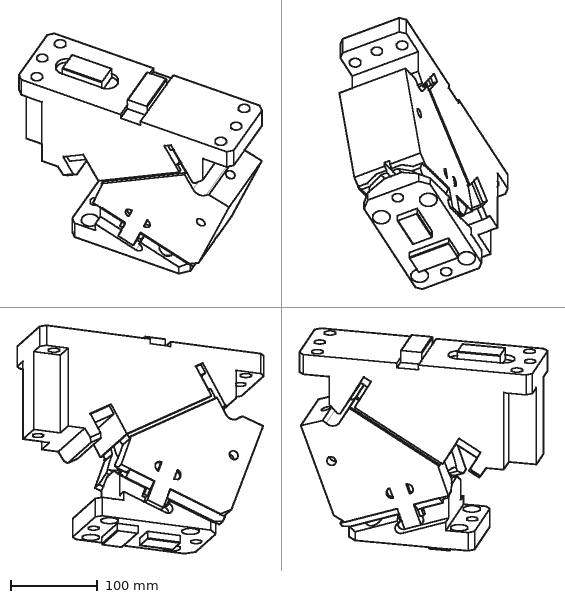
import cadquery as cq
import math

LENGTH = 277.0
WIDTH = 85.0
HALF_WIDTH = WIDTH / 2
TOTAL_HEIGHT = 243.0
BODY_HEIGHT = 225.0
KEY_PROJECTION = (TOTAL_HEIGHT - BODY_HEIGHT) / 2
CORNER_CHAMFER = 6.0
REACH = 554.0

KEY_LENGTH = 50.5
KEY_WIDTH = 25.5
KEY_CHAMFER = 0.8
KEYWAY_DEPTH = 5.8
SCREW_INSET = 20.0
SCREW_Y = 30.2
LEFT_DOWEL_INSET = 12.0
HOLDER_RIGHT_DOWEL_INSET = 15.2
BASE_RIGHT_SCREW_INSET = 30.5
DOWEL_RADIUS = 6.5
HOLDER_SCREW_RADIUS = 6.6
BASE_SCREW_RADIUS = 10.0

FLANGE_THICKNESS = 24.7
FLANGE_BOTTOM = BODY_HEIGHT - FLANGE_THICKNESS
HOLDER_BOTTOM = 104.7
LIP_ROOT_X = 53.2
HEEL_X = 240.2
NOSE_Z = 155.7
NOSE_LEFT_X = 227.0
NOSE_RIGHT_X = 230.0
END_RELIEF_LENGTH = 32.7
END_WEB_WIDTH = 35.2
HOLDER_KEY_X = 134.0
LONG_KEY_X = 44.3
LONG_KEY_LENGTH = 50.7
KEY_SLOT_X = 30.5
KEY_SLOT_LENGTH = 78.0

SLIDE_ANGLE = math.radians(30)
SLIDE_X = 105.3
SLIDE_Z = 104.7
NOTCH_LENGTH = 29.6
LIP_THICKNESS = 14.5
LIP_DROP = 8.5
LIP_CHAMFER = 5.0
SLOT_START = 120.8
SLOT_WIDTH = 10.0
CLEARANCE_TOP = 28.0
POCKET_TOP = 39.0
POCKET_DEPTH = 5.5
RIDGE_START = 2.2
RIDGE_END = 126.0
RIDGE_STEP = 8.5
RIDGE_HALF_WIDTH = 38.8
RIB_HALF_WIDTH = 33.2
SHOULDER_DROP = 4.5

RAMP_ANGLE = math.radians(20)
RAMP_X = 101.5
RAMP_Z = 65.0
ROOF_ANGLE = math.radians(30)
ROOF_TOP = 4.2
ROOF_FLAT = 10.8

SLIDER_START = -3.0
SLIDER_END = 137.7
SLIDER_TOP = 126.0
BEVEL_TOP = 11.4
BEVEL_SLOPE = 0.9
TOE_END = 134.0
TOE_LOW = -5.3
START_DROP = 6.0
VALLEY_DROP = 25.8
VALLEY_BOTTOM = (235.5, 139.5)
VALLEY_RIGHT = (243.8, 142.7)
SHOULDER_PEAK = (248.0, 145.1)
SKIRT_DROP = 9.0
SKIRT_TOP_Y = 41.3
SKIRT_BOTTOM_Y = 35.5
END_RECESS_END = 9.0
RECESS_HALF_WIDTH = 29.5
RECESS_THROAT = 13.3
RECESS_TOP = 14.7
CENTRE_SLOT_WIDTH = 6.6
CENTRE_SLOT_TOP = 16.0
BORE_RADIUS = 17.2
BORE_DROP = 10.5
BORE_END = 7.0
TAB_START = 40.7
TAB_WIDTH = 20.8
TAB_DROP = 25.8
LUG_OVERHANG = 4.5
LUG_DROP = 17.7
LUG_OUTER_Y = 35.5
HALF_DISC_RADIUS = 6.0
HALF_DISC_HEIGHT = 20.0
HALF_DISC_DEPTH = 4.2
CROSS_HOLE_X = 237.5
CROSS_HOLE_Z = 95.8
CROSS_HOLE_RADIUS = 5.3
CROSS_HOLE_DEPTH = 13.8
DRILL_POINT_SLOPE = 0.6
END_HOLE_RADIUS = 5.5
END_HOLE_DEPTH = 13.8
END_HOLE_INSET = 20.5

BASE_START = 68.7
BASE_END = 219.0
BASE_STEP_HEIGHT = 22.7
BASE_END_CHAMFER = 10.0
SIDE_POCKET_Y = 29.0
SIDE_POCKET_END = 66.5
SIDE_POCKET_DROP = 30.0
RELIEF_RADIUS = 6.0
BASE_KEY_X = 100.3
BASE_LONG_KEY_X = 142.5
BASE_LONG_KEY_LENGTH = 40.2


def on_slide(along, above):
    """X, Z of a point given along and above the slide plane."""
    x = SLIDE_X + along * math.cos(SLIDE_ANGLE) - above * math.sin(SLIDE_ANGLE)
    z = SLIDE_Z + along * math.sin(SLIDE_ANGLE) + above * math.cos(SLIDE_ANGLE)
    return (x, z)


def on_ramp(along, above):
    """X, Z of a point given down along and above the ramp."""
    x = RAMP_X + along * math.cos(RAMP_ANGLE) + above * math.sin(RAMP_ANGLE)
    z = RAMP_Z - along * math.sin(RAMP_ANGLE) + above * math.cos(RAMP_ANGLE)
    return (x, z)


def roof_height(y):
    """Height above the ramp of the sloped roof flanks."""
    return ROOF_TOP - (abs(y) - ROOF_FLAT) * math.tan(ROOF_ANGLE)


def slide_side():
    """Side plane of the slide: local x is along it, local y is above it."""
    direction = (math.cos(SLIDE_ANGLE), 0, math.sin(SLIDE_ANGLE))
    return cq.Workplane(cq.Plane((SLIDE_X, 0, SLIDE_Z), direction, (0, -1, 0)))


def ramp_side():
    """Side plane of the ramp: local x is down along it, local y is above it."""
    direction = (math.cos(RAMP_ANGLE), 0, -math.sin(RAMP_ANGLE))
    return cq.Workplane(cq.Plane((RAMP_X, 0, RAMP_Z), direction, (0, -1, 0)))


def slide_section(along):
    """Cross-section plane of the slide: local x is Y, local y is above the slide."""
    x, z = on_slide(along, 0)
    direction = (math.cos(SLIDE_ANGLE), 0, math.sin(SLIDE_ANGLE))
    return cq.Workplane(cq.Plane((x, 0, z), (0, 1, 0), direction))


def ramp_section(along):
    """Cross-section plane of the ramp: local x is Y, local y is above the ramp."""
    x, z = on_ramp(along, 0)
    direction = (math.cos(RAMP_ANGLE), 0, -math.sin(RAMP_ANGLE))
    return cq.Workplane(cq.Plane((x, 0, z), (0, 1, 0), direction))


def span(side, start, end, low, high, half_width=REACH):
    """Block on a side plane, symmetric about the middle of the width."""
    return (
        side.center((start + end) / 2, (low + high) / 2)
        .rect(end - start, high - low)
        .extrude(half_width, both=True)
    )


def both_flanks(side, start, end, low, high, inner, outer):
    """The same block on both flanks, between two distances from the middle."""
    whole = span(side, start, end, low, high, outer)
    return whole.cut(span(side, start, end, low, high, inner))


def mirrored(half):
    """Closed outline from a half outline, listed from the outside to the middle."""
    return half + [(-y, z) for y, z in reversed(half)]


def box(start, end, width, low, high):
    """Block between two X places and two heights, centred on the width."""
    return cq.Workplane("XY").box(end - start, width, high - low).translate(
        ((start + end) / 2, 0, (low + high) / 2)
    )


def key(start, length, width, low, high, chamfered_sides, chamfered_face):
    block = box(start, start + length, width, low, high)
    return block.faces(chamfered_face).edges(chamfered_sides).chamfer(KEY_CHAMFER)


def vertical_holes(places, radius):
    return cq.Workplane("XY").pushPoints(places).circle(radius).extrude(REACH)


def end_holes(screw_xs, screw_radius, dowel_xs):
    """Two screw holes and a dowel hole at each end of a plate."""
    screws = [(x, y) for x in screw_xs for y in (-SCREW_Y, SCREW_Y)]
    dowels = [(x, 0) for x in dowel_xs]
    return vertical_holes(screws, screw_radius).union(vertical_holes(dowels, DOWEL_RADIUS))


def slide_ridge(top):
    """Stepped ridge of the slider that runs in the holder."""
    half = [
        (RIDGE_HALF_WIDTH, -SHOULDER_DROP),
        (RIDGE_HALF_WIDTH, RIDGE_STEP),
        (RIB_HALF_WIDTH, RIDGE_STEP),
        (RIB_HALF_WIDTH, top),
    ]
    return slide_section(RIDGE_START).polyline(mirrored(half)).close().extrude(RIDGE_END - RIDGE_START)


def make_holder():
    lip_start = -NOTCH_LENGTH - LIP_THICKNESS
    slot_end = SLOT_START + SLOT_WIDTH
    outline = [
        (0, HOLDER_BOTTOM),
        (LIP_ROOT_X, HOLDER_BOTTOM),
        on_slide(lip_start, LIP_DROP),
        on_slide(-NOTCH_LENGTH, LIP_DROP),
        on_slide(-NOTCH_LENGTH, CLEARANCE_TOP),
        on_slide(0, CLEARANCE_TOP),
        on_slide(0, 0),
        on_slide(SLOT_START, 0),
        on_slide(SLOT_START, CLEARANCE_TOP),
        on_slide(slot_end, CLEARANCE_TOP),
        (NOSE_LEFT_X, NOSE_Z),
        (NOSE_RIGHT_X, NOSE_Z),
        (HEEL_X, NOSE_Z + HEEL_X - NOSE_RIGHT_X),
        (HEEL_X, FLANGE_BOTTOM),
        (LENGTH, FLANGE_BOTTOM),
        (LENGTH, BODY_HEIGHT),
        (0, BODY_HEIGHT),
    ]
    holder = cq.Workplane("XZ").polyline(outline).close().extrude(HALF_WIDTH, both=True)

    relief = box(0, END_RELIEF_LENGTH, WIDTH, 0, FLANGE_BOTTOM)
    relief = relief.cut(box(0, END_RELIEF_LENGTH, END_WEB_WIDTH, 0, FLANGE_BOTTOM))
    holder = holder.cut(relief)

    flange = box(0, LENGTH, WIDTH, 0, BODY_HEIGHT).edges("|Z").chamfer(CORNER_CHAMFER)
    holder = holder.intersect(flange)

    for side in (-1, 1):
        edge_y = side * HALF_WIDTH
        corner = [
            (edge_y, LIP_DROP),
            (edge_y - side * LIP_CHAMFER, LIP_DROP),
            (edge_y, LIP_DROP + LIP_CHAMFER),
        ]
        holder = holder.cut(
            slide_section(lip_start - 2.8).polyline(corner).close().extrude(LIP_THICKNESS + 2.8)
        )

    for start, end in ((-NOTCH_LENGTH, 0), (SLOT_START, slot_end)):
        holder = holder.cut(
            both_flanks(
                slide_side(), start, end, CLEARANCE_TOP, POCKET_TOP, HALF_WIDTH - POCKET_DEPTH, HALF_WIDTH
            )
        )

    holder = holder.cut(slide_ridge(CLEARANCE_TOP))

    keyway_floor = BODY_HEIGHT - KEYWAY_DEPTH
    key_top = BODY_HEIGHT + KEY_PROJECTION
    holder = holder.cut(box(HOLDER_KEY_X, HOLDER_KEY_X + KEY_WIDTH, WIDTH, keyway_floor, BODY_HEIGHT))
    key_slot = (
        cq.Workplane("XY", origin=(KEY_SLOT_X + KEY_SLOT_LENGTH / 2, 0, keyway_floor))
        .slot2D(KEY_SLOT_LENGTH, KEY_WIDTH)
        .extrude(KEYWAY_DEPTH)
    )
    holder = holder.cut(key_slot)
    holder = holder.union(key(HOLDER_KEY_X, KEY_WIDTH, KEY_LENGTH, keyway_floor, key_top, "|Y", ">Z"))
    holder = holder.union(key(LONG_KEY_X, LONG_KEY_LENGTH, KEY_WIDTH, keyway_floor, key_top, "|X", ">Z"))
    screw_xs = (SCREW_INSET, LENGTH - SCREW_INSET)
    dowel_xs = (LEFT_DOWEL_INSET, LENGTH - HOLDER_RIGHT_DOWEL_INSET)
    return holder.cut(end_holes(screw_xs, HOLDER_SCREW_RADIUS, dowel_xs))


def wide_groove(start, end):
    """Space under the slider that holds the bearing strips, between two places along the ramp."""
    throat = (RECESS_HALF_WIDTH - RECESS_THROAT) * math.tan(ROOF_ANGLE)
    half = [
        (HALF_WIDTH, -REACH),
        (HALF_WIDTH, 0),
        (RECESS_HALF_WIDTH, 0),
        (RECESS_THROAT, throat),
        (RECESS_THROAT, RECESS_TOP),
    ]
    return ramp_section(start).polyline(mirrored(half)).close().extrude(end - start)


def make_slider():
    toe_top = BEVEL_TOP - (SLIDER_END - TOE_END) / BEVEL_SLOPE
    skirt_end = TOE_END - (SKIRT_DROP + TOE_LOW) / math.tan(RAMP_ANGLE)
    slider = (
        cq.Workplane("XZ")
        .moveTo(*on_slide(RIDGE_START, 0))
        .lineTo(*on_slide(RIDGE_END, 0))
        .lineTo(*on_slide(RIDGE_END, -VALLEY_DROP))
        .threePointArc(VALLEY_BOTTOM, VALLEY_RIGHT)
        .lineTo(*SHOULDER_PEAK)
        .lineTo(*on_ramp(SLIDER_END, SLIDER_TOP))
        .lineTo(*on_ramp(SLIDER_END, BEVEL_TOP))
        .lineTo(*on_ramp(TOE_END, toe_top))
        .lineTo(*on_ramp(TOE_END, TOE_LOW))
        .lineTo(*on_ramp(skirt_end, -SKIRT_DROP))
        .lineTo(*on_ramp(SLIDER_START, -SKIRT_DROP))
        .lineTo(*on_slide(RIDGE_START, -START_DROP))
        .close()
        .extrude(HALF_WIDTH, both=True)
    )

    cut_start = SLIDER_START - 2.8
    run = SLIDER_END - cut_start
    for side in (-1, 1):
        flank = [
            (side * (HALF_WIDTH + 2.8), 0),
            (side * SKIRT_TOP_Y, 0),
            (side * SKIRT_BOTTOM_Y, -SKIRT_DROP),
            (side * (HALF_WIDTH + 2.8), -SKIRT_DROP),
        ]
        slider = slider.cut(ramp_section(cut_start).polyline(flank).close().extrude(run))

    groove = [
        (HALF_WIDTH, -REACH),
        (HALF_WIDTH, roof_height(HALF_WIDTH)),
        (ROOF_FLAT, ROOF_TOP),
        (CENTRE_SLOT_WIDTH / 2, ROOF_TOP),
        (CENTRE_SLOT_WIDTH / 2, CENTRE_SLOT_TOP),
    ]
    slider = slider.cut(ramp_section(cut_start).polyline(mirrored(groove)).close().extrude(run))

    slider = slider.cut(wide_groove(cut_start, END_RECESS_END))

    bevel = (
        ramp_side()
        .moveTo(SLIDER_END, BEVEL_TOP)
        .lineTo(SLIDER_END - BEVEL_TOP * BEVEL_SLOPE, 0)
        .lineTo(SLIDER_END, 0)
        .close()
        .extrude(HALF_WIDTH, both=True)
    )
    slider = slider.cut(bevel.cut(wide_groove(cut_start, SLIDER_END)))

    slider = slider.cut(
        both_flanks(slide_side(), 0, RIDGE_END, -SHOULDER_DROP, 0, RIDGE_HALF_WIDTH, HALF_WIDTH)
    )
    slider = slider.union(slide_ridge(CLEARANCE_TOP))

    bore = slide_section(BORE_END).center(0, -BORE_DROP).circle(BORE_RADIUS)
    slider = slider.cut(bore.extrude(-REACH))

    tab_end = TAB_START + TAB_WIDTH
    slider = slider.union(
        both_flanks(ramp_side(), TAB_START, tab_end, -TAB_DROP, 0, SIDE_POCKET_Y, HALF_WIDTH)
    )
    lug_start = TAB_START - LUG_OVERHANG
    lug_end = tab_end + LUG_OVERHANG
    slider = slider.union(
        both_flanks(ramp_side(), lug_start, lug_end, -LUG_DROP, 0, SIDE_POCKET_Y, LUG_OUTER_Y)
    )

    discs = (
        ramp_side()
        .pushPoints([(TAB_START, HALF_DISC_HEIGHT), (tab_end, HALF_DISC_HEIGHT)])
        .circle(HALF_DISC_RADIUS)
        .extrude(HALF_WIDTH, both=True)
    )
    discs = discs.cut(span(ramp_side(), TAB_START, tab_end, 0, SLIDER_TOP))
    discs = discs.cut(box(0, LENGTH, WIDTH - 2 * HALF_DISC_DEPTH, 0, BODY_HEIGHT))
    slider = slider.cut(discs)

    drill = (
        cq.Workplane("XY")
        .polyline(
            [
                (0, -HALF_WIDTH),
                (CROSS_HOLE_RADIUS, -HALF_WIDTH),
                (CROSS_HOLE_RADIUS, CROSS_HOLE_DEPTH - HALF_WIDTH),
                (0, CROSS_HOLE_DEPTH - HALF_WIDTH + CROSS_HOLE_RADIUS * DRILL_POINT_SLOPE),
            ]
        )
        .close()
        .revolve(360, (0, 0, 0), (0, 1, 0))
        .translate((CROSS_HOLE_X, 0, CROSS_HOLE_Z))
    )
    slider = slider.cut(drill).cut(drill.mirror("XZ"))

    hole_x, hole_z = on_ramp(SLIDER_END - END_HOLE_INSET, SLIDER_TOP)
    normal = (math.sin(RAMP_ANGLE), 0, math.cos(RAMP_ANGLE))
    hole = cq.Workplane(cq.Plane((hole_x, 0, hole_z), (0, 1, 0), normal)).circle(END_HOLE_RADIUS)
    return slider.cut(hole.extrude(-END_HOLE_DEPTH))


def make_base():
    block = box(BASE_START, BASE_END, WIDTH, 0, BODY_HEIGHT)
    block = block.edges("|Z and <X").chamfer(CORNER_CHAMFER)
    block = block.edges("|Z and >X").chamfer(BASE_END_CHAMFER)

    edge = HALF_WIDTH + 2.8
    roof = [(edge, -REACH), (edge, roof_height(edge)), (ROOF_FLAT, ROOF_TOP)]
    base = block.intersect(
        ramp_section(-REACH / 2).polyline(mirrored(roof)).close().extrude(REACH)
    )
    base = base.cut(box(0, RAMP_X, WIDTH, BASE_STEP_HEIGHT, BODY_HEIGHT))

    pocket = both_flanks(
        ramp_side(), -REACH / 2, SIDE_POCKET_END, -SIDE_POCKET_DROP, REACH / 2, SIDE_POCKET_Y, HALF_WIDTH
    )
    relief = ramp_side().center(SIDE_POCKET_END, RELIEF_RADIUS - SIDE_POCKET_DROP).circle(RELIEF_RADIUS)
    relief = relief.extrude(HALF_WIDTH, both=True)
    relief = relief.cut(box(0, LENGTH, 2 * SIDE_POCKET_Y, 0, BODY_HEIGHT))
    base = base.cut(pocket.intersect(box(RAMP_X, LENGTH, WIDTH, 0, BODY_HEIGHT))).cut(relief)

    base = base.union(key(BASE_KEY_X, KEY_WIDTH, KEY_LENGTH, -KEY_PROJECTION, 0, "|Y", "<Z"))
    base = base.union(
        key(BASE_LONG_KEY_X, BASE_LONG_KEY_LENGTH, KEY_WIDTH, -KEY_PROJECTION, 0, "|X", "<Z")
    )
    screw_xs = (BASE_START + SCREW_INSET, BASE_END - BASE_RIGHT_SCREW_INSET)
    dowel_xs = (BASE_START + LEFT_DOWEL_INSET, BASE_END - LEFT_DOWEL_INSET)
    return base.cut(end_holes(screw_xs, BASE_SCREW_RADIUS, dowel_xs))


holder = make_holder()
slider = make_slider()
base = make_base()
result = cq.Compound.makeCompound([*holder.solids().vals(), *slider.solids().vals(), *base.solids().vals()])